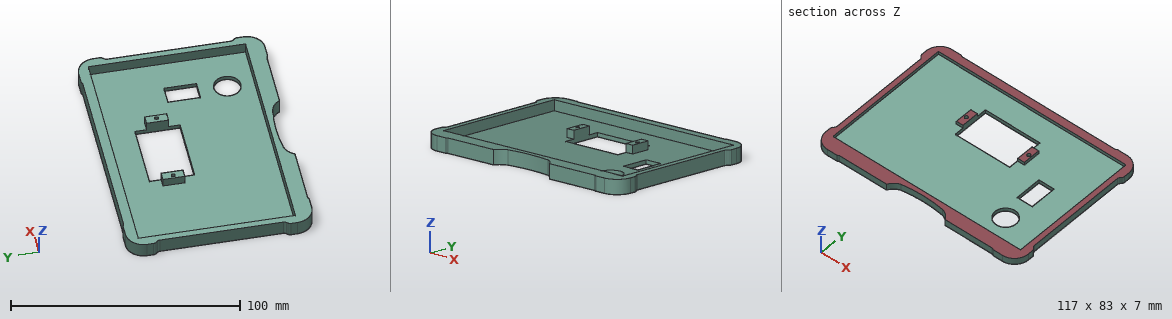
import cadquery as cq

LENGTH = 117.0
WIDTH = 83.0
HEIGHT = 7.0
FLOOR = 2.0
CORNER_RADIUS = 8.0

LONG_SIDE_INSET = 0.5
LONG_RAMP_OUTER_X = 45.0
LONG_RAMP_INNER_X = 44.4
LONG_RAMP_FILLET = 0.8
SHORT_SIDE_INSET = 1.5
SHORT_RAMP_OUTER_Y = 29.9
SHORT_RAMP_INNER_Y = 28.2
SHORT_RAMP_FILLET = 1.8

NOTCH_HALF_WIDTH = 16.8
NOTCH_CROWN_HALF_WIDTH = 12.0
NOTCH_DEPTH = 5.05
NOTCH_CROWN_RISE = 1.0
NOTCH_END_RADIUS = 8.0

RECESS_LENGTH = 108.0
RECESS_WIDTH = 70.0
RECESS_Y = 1.5

WINDOW_LENGTH = 31.4
WINDOW_WIDTH = 20.1
WINDOW_Y = 13.55
BLOCK_LENGTH = 4.0
BLOCK_WIDTH = 9.8
BLOCK_HEIGHT = 4.0
SCREW_HOLE_DIAMETER = 1.6
SCREW_HOLE_SPACING = 36.0

SLOT_LENGTH = 8.7
SLOT_WIDTH = 14.5
SLOT_X = 34.9
SLOT_Y = -1.4
ROUND_HOLE_DIAMETER = 12.0
ROUND_HOLE_X = 35.0
ROUND_HOLE_Y = -21.5


def edge_box(x, y):
    """Selector for the one upright edge that stands at (x, y)."""
    reach = 0.1
    return cq.selectors.BoxSelector((x - reach, y - reach, 0), (x + reach, y + reach, HEIGHT))


def relieve(body, corners, fillet):
    """Cut a trapezoid from the body and round the four upright edges at its corners."""
    body = body.cut(cq.Workplane("XY").polyline(corners).close().extrude(HEIGHT))
    for x, y in corners:
        body = body.edges("|Z").edges(edge_box(x, y)).fillet(fillet)
    return body


def make_plate():
    """Rounded plate with all four sides set back between the corner lobes."""
    plate = cq.Workplane("XY").box(LENGTH, WIDTH, HEIGHT, centered=(True, True, False))
    plate = plate.edges("|Z").fillet(CORNER_RADIUS)
    for sign in (-1, 1):
        outer_y = sign * WIDTH / 2
        inner_y = sign * (WIDTH / 2 - LONG_SIDE_INSET)
        long_side = [
            (-LONG_RAMP_OUTER_X, outer_y),
            (-LONG_RAMP_INNER_X, inner_y),
            (LONG_RAMP_INNER_X, inner_y),
            (LONG_RAMP_OUTER_X, outer_y),
        ]
        plate = relieve(plate, long_side, LONG_RAMP_FILLET)

        outer_x = sign * LENGTH / 2
        inner_x = sign * (LENGTH / 2 - SHORT_SIDE_INSET)
        short_side = [
            (outer_x, -SHORT_RAMP_OUTER_Y),
            (inner_x, -SHORT_RAMP_INNER_Y),
            (inner_x, SHORT_RAMP_INNER_Y),
            (outer_x, SHORT_RAMP_OUTER_Y),
        ]
        plate = relieve(plate, short_side, SHORT_RAMP_FILLET)
    return plate


def make_notch():
    """Cutter for the thumb notch: the crown with one end arc, joined to its mirror."""
    side_y = LONG_SIDE_INSET - WIDTH / 2
    crown_y = side_y + NOTCH_DEPTH
    crown_end_y = crown_y - NOTCH_CROWN_RISE
    one_end = (
        cq.Workplane("XY")
        .moveTo(-NOTCH_CROWN_HALF_WIDTH, crown_end_y)
        .threePointArc((0, crown_y), (NOTCH_CROWN_HALF_WIDTH, crown_end_y))
        .radiusArc((NOTCH_HALF_WIDTH, side_y), NOTCH_END_RADIUS)
        .lineTo(-NOTCH_CROWN_HALF_WIDTH, side_y)
        .close()
        .extrude(HEIGHT)
    )
    return one_end.union(one_end.mirror("YZ"))


def make_recess():
    """Cutter for the recess above the floor."""
    return (
        cq.Workplane("XY", origin=(0, RECESS_Y, FLOOR))
        .rect(RECESS_LENGTH, RECESS_WIDTH)
        .extrude(HEIGHT - FLOOR)
    )


def make_floor_openings():
    """Cutters for the display window, the switch slot and the round hole."""
    window = cq.Workplane("XY").center(0, WINDOW_Y).rect(WINDOW_LENGTH, WINDOW_WIDTH).extrude(FLOOR)
    slot = cq.Workplane("XY").center(SLOT_X, SLOT_Y).rect(SLOT_LENGTH, SLOT_WIDTH).extrude(FLOOR)
    round_hole = (
        cq.Workplane("XY")
        .center(ROUND_HOLE_X, ROUND_HOLE_Y)
        .circle(ROUND_HOLE_DIAMETER / 2)
        .extrude(FLOOR)
    )
    return window.union(slot).union(round_hole)


def make_screw_blocks():
    """Two blocks on the floor, flush with the window ends, each with a hole down to the floor."""
    block_spacing = WINDOW_LENGTH + BLOCK_LENGTH
    floor_plane = cq.Workplane("XY", origin=(0, WINDOW_Y, FLOOR))
    blocks = (
        floor_plane.pushPoints([(-block_spacing / 2, 0), (block_spacing / 2, 0)])
        .rect(BLOCK_LENGTH, BLOCK_WIDTH)
        .extrude(BLOCK_HEIGHT)
    )
    holes = (
        floor_plane.pushPoints([(-SCREW_HOLE_SPACING / 2, 0), (SCREW_HOLE_SPACING / 2, 0)])
        .circle(SCREW_HOLE_DIAMETER / 2)
        .extrude(BLOCK_HEIGHT)
    )
    return blocks.cut(holes)


result = (
    make_plate()
    .cut(make_notch())
    .cut(make_recess())
    .cut(make_floor_openings())
    .union(make_screw_blocks())
)